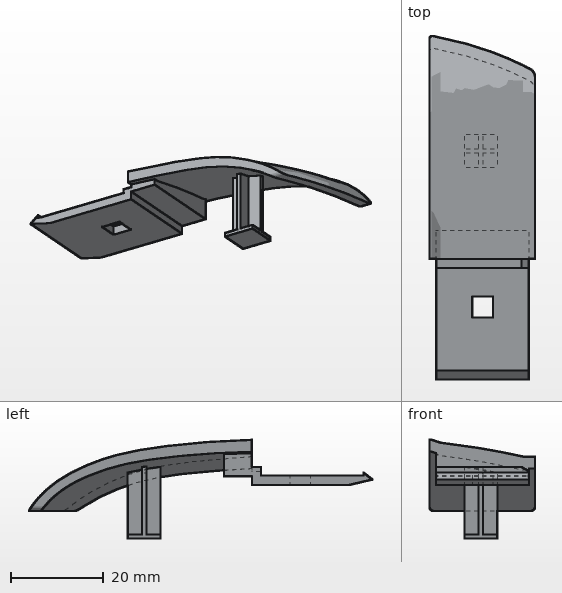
import cadquery as cq


shell_width = 22.9
shell_front_y = 26.1
shell_left_end_y = 74.35
shell_end_setback = 7.8
shell_left_top_z = 21.4
shell_top_drop = 3.65
shell_base_z = 5.95
shell_thickness = 2.6
shell_end_thickness = 2.7
shell_corner_radius = 1.05

shell_curve = [
    (0, 0, 0),
    (0.22, 0.035, 0.06),
    (0.42, 0.103, 0.14),
    (0.62, 0.225, 0.285),
    (0.76, 0.385, 0.47),
    (0.86, 0.555, 0.65),
    (1, 1, 1),
]
left_strip = [(0, 0, 0), (0.5, 0, 0), (2.45, 0.17, 0.06)]
crown = [left_strip[-1], (11.45, 0.52, 0.36), (20.35, 1, 0.83)]
right_strip = [crown[-1], (shell_width, 1, 1)]

tongue_left_x = 1.5
tongue_width = 20.05
tongue_bottom_z = 11.6
tongue_top_z = 13.7
tip_z = 12.8
tip_taper_y = 5.05
barb_y = 2.0
barb_z = 14.3
step_y = 24.1
step_z = 15.5
step_bevel_width = 1.6
step_bevel_height = 1.0
block_back_y = 32.2
block_bottom_z = 13.45
block_left_z = 19.7
block_right_z = 16.35
hole_size = 4.45
hole_y = 15.7

post_x = 11.15
post_y = 49.4
post_width = 7.1
post_web = 1.0
foot_height = 0.9

tongue_right_x = tongue_left_x + tongue_width


def curve_points(front_z, end_y, blend):
    """Points along one lengthwise curve, from the front edge to the base plane.

    The blend runs from 0 for the left side's curve to 1 for the right side's.
    """
    length = end_y - shell_front_y
    fall = front_z - shell_base_z
    points = []
    for along, left_fall, right_fall in shell_curve:
        fall_fraction = left_fall + blend * (right_fall - left_fall)
        points.append((shell_front_y + along * length, front_z - fall_fraction * fall))
    return points


def shell_section(station, filled):
    """Lengthwise section of the shell; a filled one spans from mid-thickness down to the foot plane."""
    x, drop, setback = station
    top_z = shell_left_top_z - drop * shell_top_drop
    end_y = shell_left_end_y - setback * shell_end_setback
    if filled:
        top_z -= shell_thickness / 2
        end_y -= shell_end_thickness / 2
    top = curve_points(top_z, end_y, setback)
    section = cq.Workplane("YZ", origin=(x, 0, 0)).moveTo(*top[0]).spline(top[1:], includeCurrent=True)
    if filled:
        section = section.lineTo(end_y, 0).lineTo(shell_front_y, 0)
    else:
        under = curve_points(top_z - shell_thickness, end_y - shell_end_thickness, setback)
        under.reverse()
        section = section.lineTo(*under[0]).spline(under[1:], includeCurrent=True)
    return section.close().val()


def loft_sections(stations, ruled, filled=False):
    wires = [shell_section(station, filled) for station in stations]
    return cq.Workplane(cq.Solid.makeLoft(wires, ruled))


def make_shell():
    length = shell_left_end_y - shell_front_y
    height = shell_left_top_z - shell_base_z + shell_corner_radius
    envelope = (
        cq.Workplane("XY", origin=(0, shell_front_y, shell_base_z))
        .box(shell_width, length, height, centered=False)
        .edges("|Y and <Z")
        .fillet(shell_corner_radius)
    )
    left = loft_sections(left_strip, ruled=True)
    middle = loft_sections(crown, ruled=False)
    right = loft_sections(right_strip, ruled=True)
    return left.union(middle).union(right).intersect(envelope)


def make_tongue():
    outline = [
        (0, tip_z),
        (barb_y, barb_z),
        (barb_y, tongue_top_z),
        (step_y, tongue_top_z),
        (step_y, step_z),
        (block_back_y, step_z),
        (block_back_y, block_bottom_z),
        (shell_front_y, block_bottom_z),
        (shell_front_y, tongue_bottom_z),
        (tip_taper_y, tongue_bottom_z),
    ]
    tongue = cq.Workplane("YZ", origin=(tongue_left_x, 0, 0)).polyline(outline).close().extrude(tongue_width)
    bevel = (
        cq.Workplane("XZ", origin=(0, step_y, 0))
        .moveTo(tongue_right_x, step_z)
        .lineTo(tongue_right_x - step_bevel_width, step_z)
        .lineTo(tongue_right_x, step_z - step_bevel_height)
        .close()
        .extrude(step_y - shell_front_y)
    )
    hole_x = tongue_left_x + tongue_width / 2
    hole = cq.Workplane("XY", origin=(hole_x, hole_y, 0)).rect(hole_size, hole_size).extrude(step_z)
    return tongue.cut(bevel).cut(hole)


def make_block():
    """Root block joining the tongue to the underside of the shell."""
    outline = [
        (tongue_left_x, block_bottom_z),
        (tongue_right_x, block_bottom_z),
        (tongue_right_x, block_right_z),
        (tongue_left_x, block_left_z),
    ]
    depth = block_back_y - shell_front_y
    return cq.Workplane("XZ", origin=(0, shell_front_y, 0)).polyline(outline).close().extrude(-depth)


def make_post():
    base = cq.Workplane("XY", origin=(post_x, post_y, 0))
    foot = base.rect(post_width, post_width).extrude(foot_height)
    arm_x = base.rect(post_width, post_web).extrude(shell_left_top_z)
    arm_y = base.rect(post_web, post_width).extrude(shell_left_top_z)
    limit = loft_sections(crown, ruled=False, filled=True)
    return foot.union(arm_x).union(arm_y).intersect(limit)


result = make_shell().union(make_block()).union(make_tongue()).union(make_post())